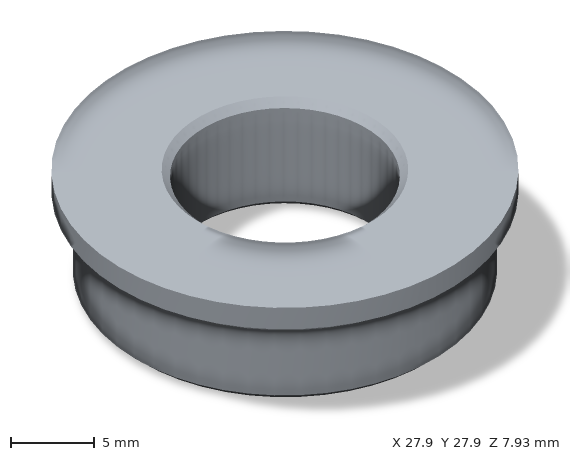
import cadquery as cq

flange_diameter = 27.95
body_diameter = 25.4
bore_diameter = 13.75
height = 7.93
flange_thickness = 1.6
edge_chamfer = 0.5

groove_radius = 0.5

flange_radius = flange_diameter / 2
body_radius = body_diameter / 2
bore_radius = bore_diameter / 2
flange_underside = height - flange_thickness
groove_bottom = flange_underside - 2 * groove_radius

profile = (
    cq.Workplane("XZ")
    .moveTo(bore_radius + edge_chamfer, 0)
    .lineTo(body_radius - edge_chamfer, 0)
    .lineTo(body_radius, edge_chamfer)
    .lineTo(body_radius, groove_bottom)
    .threePointArc(
        (body_radius - groove_radius, groove_bottom + groove_radius),
        (body_radius, flange_underside),
    )
    .lineTo(flange_radius, flange_underside)
    .lineTo(flange_radius, height)
    .lineTo(bore_radius + edge_chamfer, height)
    .lineTo(bore_radius, height - edge_chamfer)
    .lineTo(bore_radius, edge_chamfer)
    .close()
)
result = profile.revolve(360, (0, 0, 0), (0, 1, 0))